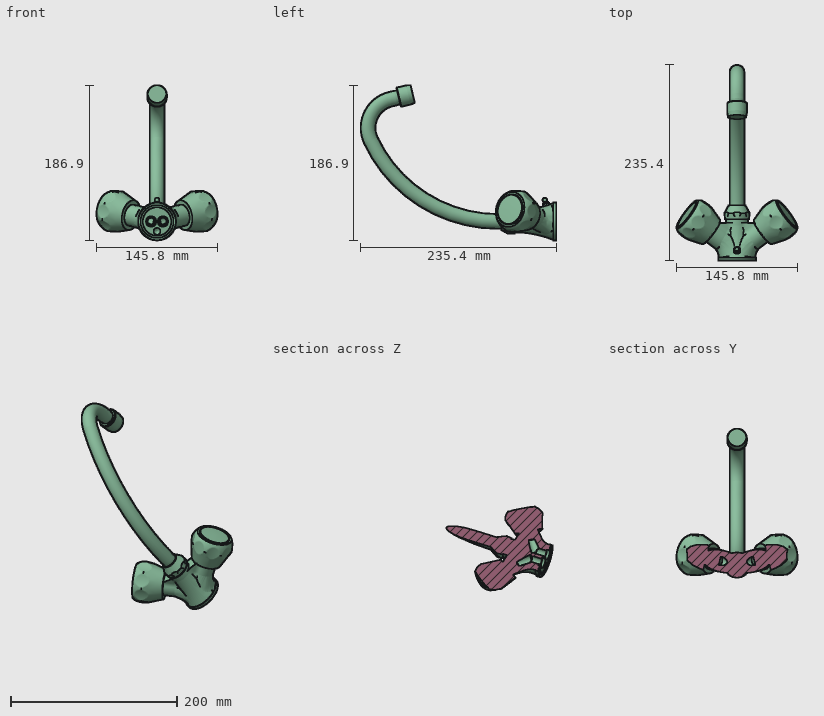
import cadquery as cq
import math


base_radius = 22.9
base_thickness = 3.7
neck_radius = 13.4
neck_length = 50.0
flare_start_radius = 22.3
flare_middle = (16.6, 21.5)
flare_end_y = 42.0

groove_outer_radius = 19.8
groove_inner_radius = 17.1
groove_depth = 1.5
port_offset = 7.1
port_radius = 6.2
port_depth = 4.0
port_bore_radius = 4.4
port_bore_depth = 16.0
channel_radius = 5.0
channel_start = 6.0
channel_end = 26.0
fixing_hole_radius = 4.1
fixing_hole_drop = 11.8
fixing_hole_depth = 9.0
fixing_hole_tip = 2.5

arm_origin_y = 11.4
arm_azimuth = 36.5
arm_elevation = 11.0
arm_radius = 13.1
knob_distance = 39.5
arm_flare_distance = 26.0
arm_flare_start_radius = 22.2
arm_flare_start_y = 2.0
arm_flare_end_radius = 13.0
arm_flare_middle_radius = 16.5
arm_flare_middle_centre = (8.0, 16.0, 1.6)
arm_flare_middle_turn = 20.0
web_half_thickness = 8.5
web_fillet = 8.0
web_corner_start_x = 3.4
web_corner_start_y = 18.0
web_end_y = 45.4

knob_inner_radius = 18.3
knob_crest_radius = 26.1
knob_crest_distance = 24.0
knob_shoulder_middle = (24.2, 31.3)
knob_tip_radius = 21.3
knob_length = 36.3
knob_rim_inner_radius = 18.6
knob_cap_radius = 17.8
knob_cap_step = 0.6
knob_cap_rise = 0.8
dimple_count = 8
dimple_floor_radius = 23.5
dimple_radius = 38.0
dimple_edge_fillet = 2.5

nut_end_y = 66.4
nut_crest_y = 57.0
nut_start_radius = 14.5
nut_crest_radius = 15.4
nut_end_radius = 10.3
nut_flat_distance = 14.65

spout_radius = 9.0
spout_straight_end_y = 69.9
spout_sweep_radius = 169.0
spout_sweep_angle = 65.0
spout_hook_radius = 35.4
spout_final_angle = 166.5
outlet_pipe_length = 6.2
outlet_neck_radius = 8.3
outlet_start = 9.8
outlet_taper_start = 21.8
outlet_length = 27.3
outlet_radius = 12.0
outlet_edge = 0.8
outlet_end_radius = 11.0

rod_foot = (0, 11.6, 17.7)
rod_tilt = 16.0
rod_collar_radius = 4.1
rod_collar_height = 4.0
rod_washer_radius = 3.4
rod_washer_height = 5.0
rod_stem_radius = 1.8
rod_ball_radius = 2.9
rod_ball_height = 8.3

azimuth = math.radians(arm_azimuth)
elevation = math.radians(arm_elevation)
arm_direction = cq.Vector(
    math.cos(elevation) * math.cos(azimuth),
    math.cos(elevation) * math.sin(azimuth),
    math.sin(elevation),
)
arm_origin = cq.Vector(0, arm_origin_y, 0)


def y_cylinder(radius, start_y, end_y, x=0, z=0):
    start = cq.Vector(x, start_y, z)
    return cq.Workplane(cq.Solid.makeCylinder(radius, end_y - start_y, start, cq.Vector(0, 1, 0)))


def arm_point(distance):
    """Point on the +X arm axis."""
    return arm_origin + arm_direction * distance


def arm_plane(distance):
    """Plane across the +X arm, with its X direction horizontal and pointing outwards towards -Y."""
    across = cq.Vector(math.sin(azimuth), -math.cos(azimuth), 0)
    return cq.Plane(arm_point(distance), across, arm_direction)


def make_body():
    profile = (
        cq.Workplane("XY")
        .lineTo(base_radius, 0)
        .lineTo(base_radius, base_thickness)
        .lineTo(flare_start_radius, base_thickness)
        .threePointArc(flare_middle, (neck_radius, flare_end_y))
        .lineTo(neck_radius, neck_length)
        .lineTo(0, neck_length)
        .close()
    )
    return profile.revolve(360, (0, 0, 0), (0, 1, 0))


def make_arm():
    """Arm, neck and web blended together, with the trumpet that joins them to the base."""
    arm = cq.Workplane(arm_plane(0)).circle(arm_radius).extrude(knob_distance)
    neck = y_cylinder(neck_radius, arm_origin_y, neck_length)
    blended = arm.union(neck).union(make_web())
    last_x = arm_point(knob_distance).x - arm_radius * math.sin(azimuth)
    corner_edges = [
        edge
        for edge in blended.edges("not %CIRCLE").vals()
        if web_corner_start_x < edge.Center().x < last_x
        and web_corner_start_y < edge.Center().y < web_end_y - 1
    ]
    blended = blended.newObject(corner_edges).fillet(web_fillet)
    return blended.union(make_arm_flare())


def make_arm_flare():
    """Trumpet that bends from the base disc into the arm."""
    turn = math.radians(arm_flare_middle_turn)
    middle_direction = cq.Vector(math.sin(turn), math.cos(turn), 0)
    sections = [
        cq.Wire.makeCircle(arm_flare_start_radius, cq.Vector(0, arm_flare_start_y, 0), cq.Vector(0, 1, 0)),
        cq.Wire.makeCircle(arm_flare_middle_radius, cq.Vector(*arm_flare_middle_centre), middle_direction),
        cq.Wire.makeCircle(arm_flare_end_radius, arm_point(arm_flare_distance), arm_direction),
    ]
    return cq.Workplane(cq.Solid.makeLoft(sections))


def make_web():
    """Flat web between neck and arm, in the plane that holds both axes."""
    slope = math.atan2(arm_direction.z, arm_direction.x)
    plane = cq.Plane((0, 0, 0), (math.cos(slope), 0, math.sin(slope)), (-math.sin(slope), 0, math.cos(slope)))
    arm_end = arm_point(knob_distance)
    arm_end_across = arm_end.x / math.cos(slope)
    edge_across = arm_end_across - arm_radius * math.sin(azimuth)
    return (
        cq.Workplane(plane)
        .moveTo(0, arm_origin_y)
        .lineTo(arm_end_across, arm_end.y)
        .lineTo(edge_across, web_end_y)
        .lineTo(0, web_end_y)
        .close()
        .extrude(web_half_thickness, both=True)
    )


def make_knob():
    """Knob along +Z with its inner face on Z = 0."""
    cap_z = knob_length + knob_cap_step
    dome_radius = (knob_cap_radius**2 + knob_cap_rise**2) / (2 * knob_cap_rise)
    cap_middle_radius = knob_cap_radius / 2
    dome_centre_z = cap_z + knob_cap_rise - dome_radius
    cap_middle = (cap_middle_radius, dome_centre_z + math.sqrt(dome_radius**2 - cap_middle_radius**2))
    knob = (
        cq.Workplane("XZ")
        .lineTo(knob_inner_radius, 0)
        .lineTo(knob_crest_radius, knob_crest_distance)
        .threePointArc(knob_shoulder_middle, (knob_tip_radius, knob_length))
        .lineTo(knob_rim_inner_radius, knob_length)
        .lineTo(knob_cap_radius, cap_z)
        .threePointArc(cap_middle, (0, cap_z + knob_cap_rise))
        .close()
        .revolve(360, (0, 0, 0), (0, 1, 0))
    )
    dimple = (
        cq.Workplane("XY")
        .center(dimple_floor_radius + dimple_radius, 0)
        .circle(dimple_radius)
        .extrude(knob_length)
    )
    for index in range(dimple_count):
        knob = knob.cut(dimple.rotate((0, 0, 0), (0, 0, 1), index * 360 / dimple_count))
    return knob.edges("%BSPLINE").fillet(dimple_edge_fillet)


def make_nut():
    cone = (
        cq.Workplane("XY")
        .moveTo(0, neck_length)
        .lineTo(nut_start_radius, neck_length)
        .lineTo(nut_crest_radius, nut_crest_y)
        .lineTo(nut_end_radius, nut_end_y)
        .lineTo(0, nut_end_y)
        .close()
        .revolve(360, (0, 0, 0), (0, 1, 0))
    )
    corner_diameter = 2 * nut_flat_distance / math.cos(math.pi / 6)
    hexagon = cq.Workplane("XZ").polygon(6, corner_diameter).extrude(-nut_end_y)
    return cone.intersect(hexagon)


def turn_point(start, radius, start_angle, end_angle):
    """Point reached from `start` in the YZ plane after a left turn between two headings."""
    first = math.radians(start_angle)
    last = math.radians(end_angle)
    return (
        start[0] + radius * (math.sin(last) - math.sin(first)),
        start[1] + radius * (math.cos(first) - math.cos(last)),
    )


def make_spout():
    straight_end = (spout_straight_end_y, 0)
    sweep_middle = turn_point(straight_end, spout_sweep_radius, 0, spout_sweep_angle / 2)
    sweep_end = turn_point(straight_end, spout_sweep_radius, 0, spout_sweep_angle)
    hook_middle_angle = (spout_sweep_angle + spout_final_angle) / 2
    hook_middle = turn_point(sweep_end, spout_hook_radius, spout_sweep_angle, hook_middle_angle)
    hook_end = turn_point(sweep_end, spout_hook_radius, spout_sweep_angle, spout_final_angle)
    path = (
        cq.Workplane("YZ")
        .moveTo(neck_length, 0)
        .lineTo(*straight_end)
        .threePointArc(sweep_middle, sweep_end)
        .threePointArc(hook_middle, hook_end)
    )
    pipe = cq.Workplane("XZ", origin=(0, neck_length, 0)).circle(spout_radius).sweep(path)
    return pipe.union(make_outlet(hook_end))


def make_outlet(hook_end):
    heading = math.radians(spout_final_angle)
    direction = (0, math.cos(heading), math.sin(heading))
    plane = cq.Plane((0, *hook_end), (1, 0, 0), cq.Vector(1, 0, 0).cross(cq.Vector(*direction)))
    return (
        cq.Workplane(plane)
        .lineTo(spout_radius, 0)
        .lineTo(spout_radius, outlet_pipe_length)
        .lineTo(outlet_neck_radius, outlet_start)
        .lineTo(outlet_radius - outlet_edge, outlet_start)
        .lineTo(outlet_radius, outlet_start + outlet_edge)
        .lineTo(outlet_radius, outlet_taper_start)
        .lineTo(outlet_end_radius, outlet_length)
        .lineTo(0, outlet_length)
        .close()
        .revolve(360, (0, 0, 0), (0, 1, 0))
    )


def make_rod():
    rod = (
        cq.Workplane("XY")
        .circle(rod_collar_radius)
        .extrude(rod_collar_height)
        .union(cq.Workplane("XY").circle(rod_washer_radius).extrude(rod_washer_height))
        .union(cq.Workplane("XY").circle(rod_stem_radius).extrude(rod_ball_height))
        .union(cq.Workplane("XY").sphere(rod_ball_radius).translate((0, 0, rod_ball_height)))
    )
    return rod.rotate((0, 0, 0), (1, 0, 0), -rod_tilt).translate(rod_foot)


def make_base_cuts():
    groove = y_cylinder(groove_outer_radius, 0, groove_depth)
    cuts = groove.cut(y_cylinder(groove_inner_radius, 0, groove_depth))
    for x in (-port_offset, port_offset):
        port = y_cylinder(port_radius, 0, port_depth, x=x)
        cuts = cuts.union(port).union(y_cylinder(port_bore_radius, 0, port_bore_depth, x=x))
    return cuts.union(make_fixing_hole())


def make_fixing_hole():
    """Blind hole with a drill-point bottom."""
    return (
        cq.Workplane("XY", origin=(0, 0, -fixing_hole_drop))
        .lineTo(fixing_hole_radius, 0)
        .lineTo(fixing_hole_radius, fixing_hole_depth)
        .lineTo(0, fixing_hole_depth + fixing_hole_tip)
        .close()
        .revolve(360, (0, 0, 0), (0, 1, 0))
    )


def make_channel():
    """Water channel inside the +X arm that meets the supply port."""
    return cq.Workplane(arm_plane(channel_start)).circle(channel_radius).extrude(channel_end - channel_start)


arm = make_arm()
knob = cq.Workplane(make_knob().val().moved(cq.Location(arm_plane(knob_distance))))
valve = arm.union(knob)

result = make_body().union(valve).union(valve.mirror("YZ"))
result = result.union(make_nut()).union(make_spout()).union(make_rod())
channel = make_channel()
result = result.cut(make_base_cuts()).cut(channel).cut(channel.mirror("YZ"))